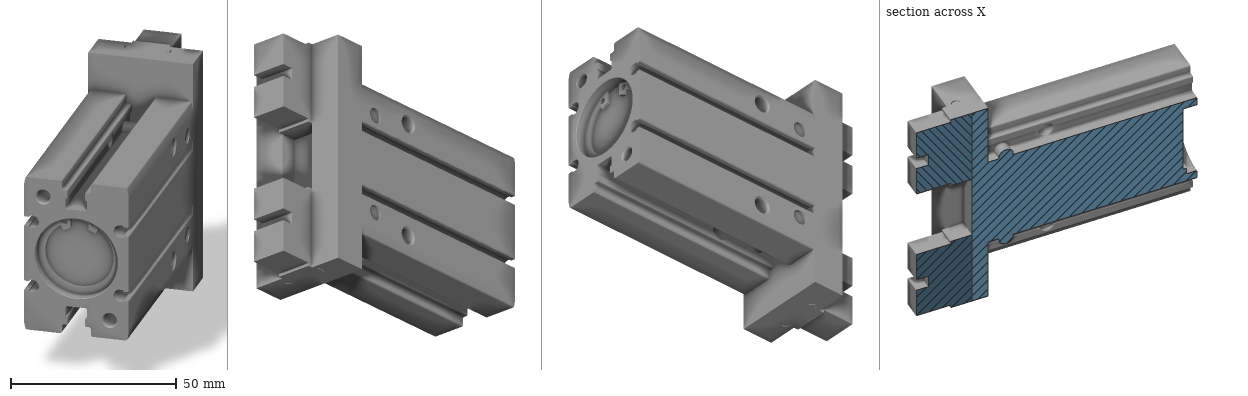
import cadquery as cq
import math

total_length = 94.2
body_length = 70.1
head_length = 11.0
head_width = 33.0
head_height = 74.6
head_front = body_length + head_length

body_width = head_width
body_height = 50.1
corner_radius = 0.6
side_relief_height = 3.5
side_relief_depth = 0.6
side_relief_bulge = 0.14

tslot_mouth_width = 9.1
tslot_shelf_depth = 3.0
tslot_neck_width = 5.6
tslot_lip_depth = 5.65
tslot_wide_width = 6.8
tslot_depth = 9.1
tslot_radius = 0.6
tslot_lip_radius = 0.3

groove_spacing = 21.1
groove_neck_width = 2.9
groove_neck_depth = 1.6
groove_mouth_radius = 0.2
groove_diameter = 4.0
groove_depth = 4.7

pin_diameter = 4.9
pin_y = 64.1
pin_z = 16.2
pin_recess = 0.9
cross_hole_diameter = 5.0
cross_hole_mouth = 6.0
cross_hole_y = 49.0
cross_hole_z = 18.65

rear_hole_diameter = 4.1
rear_hole_mouth = 5.0
rear_hole_depth = 9.4
rear_hole_x = 10.5
rear_hole_z = 19.0

bore_diameter = 26.0
bore_mouth = 26.4
ring_inner_diameter = 21.5
ring_depth = 3.5
ring_thickness = 1.2
ring_gap = 5.6
ring_ear_radius = 8.9
ring_ear_width = 3.0
ring_hole_diameter = 2.0
ring_hole_x = 4.8
ring_hole_z = 10.2

finger_width = 12.0
finger_foot_height = 26.4
finger_height = 24.4
finger_foot_step = 1.6
track_depth = 5.6
finger_bottom = head_front - track_depth
finger_notch_width = 4.0
finger_notch_depth = 4.0
finger_ear_width = 0.9
finger_ear_flat = 1.5
race_diameter = 3.0
race_inset = 3.2
race_y = head_front - race_inset


def box(x0, x1, y0, y1, z0, z1):
    return cq.Workplane("XY").box(x1 - x0, y1 - y0, z1 - z0, centered=False).translate((x0, y0, z0))


def rod_along_x(diameter, x0, x1, y, z):
    return cq.Workplane("YZ", origin=(x0, y, z)).circle(diameter / 2).extrude(x1 - x0)


def section():
    """Sketch plane on the rear face, X to the right and Z up; a negative extrusion runs toward +Y."""
    return cq.Workplane(cq.Plane(origin=(0, 0, 0), xDir=(1, 0, 0), normal=(0, -1, 0)))


def countersunk_rod(diameter, mouth, depth):
    """Hole cutter along +Z from the origin, with a 45 degree countersink at its mouth."""
    sink = (mouth - diameter) / 2
    return (
        cq.Workplane("XZ")
        .polyline([(0, 0), (mouth / 2, 0), (diameter / 2, sink), (diameter / 2, depth), (0, depth)])
        .close()
        .revolve(360, (0, 0, 0), (0, 1, 0))
    )


def body_blank():
    """Body without slots: the sides lean in along shallow arcs next to the top and bottom."""
    w = body_width / 2
    h = body_height / 2
    relief_start = h - side_relief_height
    relief_mid = h - side_relief_height / 2
    inner = w - side_relief_depth
    mid = w - side_relief_depth / 2 + side_relief_bulge
    blank = (
        section()
        .moveTo(-inner, h)
        .lineTo(inner, h)
        .threePointArc((mid, relief_mid), (w, relief_start))
        .lineTo(w, -relief_start)
        .threePointArc((mid, -relief_mid), (inner, -h))
        .lineTo(-inner, -h)
        .threePointArc((-mid, -relief_mid), (-w, -relief_start))
        .lineTo(-w, relief_start)
        .threePointArc((-mid, relief_mid), (-inner, h))
        .close()
        .extrude(-body_length)
    )
    return blank.edges("|Y and (>Z or <Z)").fillet(corner_radius)


def tslot():
    """Stepped slot cutter open to the top of the body, with rounded edges."""
    top = body_height / 2
    mouth = tslot_mouth_width / 2
    neck = tslot_neck_width / 2
    wide = tslot_wide_width / 2
    shelf = top - tslot_shelf_depth
    lip = top - tslot_lip_depth
    floor = top - tslot_depth
    r = tslot_radius
    e = tslot_lip_radius
    right = (
        section()
        .moveTo(0, top)
        .lineTo(mouth + r, top)
        .radiusArc((mouth, top - r), -r)
        .lineTo(mouth, shelf + r)
        .radiusArc((mouth - r, shelf), r)
        .lineTo(neck + e, shelf)
        .radiusArc((neck, shelf - e), -e)
        .lineTo(neck, lip + e)
        .radiusArc((neck + e, lip), -e)
        .lineTo(wide, lip)
        .lineTo(wide, floor + r)
        .radiusArc((wide - r, floor), r)
        .lineTo(0, floor)
        .close()
        .extrude(-body_length)
    )
    return right.union(right.mirror("YZ"))


def sensor_groove(z):
    """Keyhole groove cutter open to the +X side of the body."""
    w = body_width / 2
    r = groove_diameter / 2
    e = groove_mouth_radius
    neck = groove_neck_width / 2
    shoulder = w - groove_neck_depth
    tip = w - groove_depth
    return (
        section()
        .moveTo(w, z + neck + e)
        .radiusArc((w - e, z + neck), -e)
        .lineTo(shoulder, z + neck)
        .lineTo(shoulder, z + r)
        .lineTo(tip + r, z + r)
        .threePointArc((tip, z), (tip + r, z - r))
        .lineTo(shoulder, z - r)
        .lineTo(shoulder, z - neck)
        .lineTo(w - e, z - neck)
        .radiusArc((w, z - neck - e), -e)
        .close()
        .extrude(-body_length)
    )


def retaining_ring():
    """Open ring with two pierced ears beside the gap at its top."""
    radius = bore_diameter / 2
    ring = section().circle(radius).circle(ring_inner_diameter / 2).extrude(-ring_thickness)
    disc = section().circle(radius).extrude(-ring_thickness)
    right_half = box(0, radius, 0, ring_thickness, 0, radius)
    ear = box(-radius, ring_ear_width / 2, 0, ring_thickness, ring_ear_radius, radius)
    ear_angle = math.degrees(math.atan2(ring_hole_x, ring_hole_z))
    ear = ear.rotate((0, 0, 0), (0, 1, 0), ear_angle).intersect(right_half).intersect(disc)
    gap = box(-ring_gap / 2, ring_gap / 2, 0, ring_thickness, 0, radius)
    holes = (
        section()
        .pushPoints([(-ring_hole_x, ring_hole_z), (ring_hole_x, ring_hole_z)])
        .circle(ring_hole_diameter / 2)
        .extrude(-ring_thickness)
    )
    ring = ring.union(ear).union(ear.mirror("YZ")).cut(gap).cut(holes)
    return ring.translate((0, ring_depth, 0))


def rear_bore():
    """Cutter for the rear bore, leaving the retaining ring standing on its floor."""
    floor = ring_depth + ring_thickness
    bore = countersunk_rod(bore_diameter, bore_mouth, floor)
    return bore.rotate((0, 0, 0), (1, 0, 0), -90).cut(retaining_ring())


def finger_track():
    """Guide track cutter through the head, with blind round races in its sides at both ends."""
    half = finger_width / 2
    track = box(-half, half, finger_bottom, head_front, -head_height / 2, head_height / 2)
    races = (
        cq.Workplane("XY", origin=(0, 0, head_height / 2 - finger_foot_height))
        .pushPoints([(-half, race_y), (half, race_y)])
        .circle(race_diameter / 2)
        .extrude(finger_foot_height)
    )
    return track.union(races).union(races.mirror("XY"))


def head():
    return box(-head_width / 2, head_width / 2, body_length, head_front, -head_height / 2, head_height / 2)


def cross_pins():
    """Pins through the upper and lower slots; both ends are sunk below the body sides."""
    end = body_width / 2 - pin_recess
    upper_pin = rod_along_x(pin_diameter, -end, end, pin_y, pin_z)
    return upper_pin.union(upper_pin.mirror("XY"))


def cross_pin_holes():
    end = body_width / 2
    upper_hole = rod_along_x(pin_diameter, -end, end, pin_y, pin_z)
    return upper_hole.union(upper_hole.mirror("XY"))


def cross_holes():
    """Cutter for two through holes along X, countersunk on both sides of the body."""
    half_length = body_width / 2
    inward = countersunk_rod(cross_hole_diameter, cross_hole_mouth, half_length)
    left = inward.rotate((0, 0, 0), (0, 1, 0), 90).translate((-half_length, cross_hole_y, cross_hole_z))
    upper_hole = left.union(left.mirror("YZ"))
    return upper_hole.union(upper_hole.mirror("XY"))


def rear_holes():
    """Cutter for the two blind holes in diagonally opposite corners of the rear face."""
    hole = countersunk_rod(rear_hole_diameter, rear_hole_mouth, rear_hole_depth)
    hole = hole.rotate((0, 0, 0), (1, 0, 0), -90)
    lower_right = hole.translate((rear_hole_x, 0, -rear_hole_z))
    upper_left = hole.translate((-rear_hole_x, 0, rear_hole_z))
    return lower_right.union(upper_left)


def make_housing():
    housing = body_blank()
    for angle in (0, 180):
        housing = housing.cut(tslot().rotate((0, 0, 0), (0, 1, 0), angle))
        for z in (-groove_spacing / 2, groove_spacing / 2):
            housing = housing.cut(sensor_groove(z).rotate((0, 0, 0), (0, 1, 0), angle))
    housing = housing.cut(cross_pin_holes()).union(cross_pins())
    housing = housing.cut(cross_holes()).cut(rear_holes()).cut(rear_bore())
    return housing.union(head()).cut(finger_track())


def make_finger():
    """Upper finger: a foot that slides in the guide track and a notched jaw in front of it."""
    half = finger_width / 2
    z_top = head_height / 2
    z_mid = z_top - finger_foot_height / 2
    foot_front = head_front + finger_foot_step
    root = race_diameter / 2
    tip = half + finger_ear_width
    flat = finger_ear_flat / 2
    foot = box(-half, half, finger_bottom, foot_front, z_top - finger_foot_height, z_top)
    ears = (
        cq.Workplane("XY", origin=(0, 0, z_top - finger_foot_height))
        .moveTo(half, race_y - root)
        .lineTo(tip, race_y - flat)
        .lineTo(tip, race_y + flat)
        .lineTo(half, race_y + root)
        .lineTo(-half, race_y + root)
        .lineTo(-tip, race_y + flat)
        .lineTo(-tip, race_y - flat)
        .lineTo(-half, race_y - root)
        .close()
        .extrude(finger_foot_height)
    )
    jaw = box(-half, half, foot_front, total_length, z_mid - finger_height / 2, z_mid + finger_height / 2)
    notch_floor = total_length - finger_notch_depth
    notch_half = finger_notch_width / 2
    notch = box(-half, half, notch_floor, total_length, z_mid - notch_half, z_mid + notch_half)
    return foot.union(ears).union(jaw).cut(notch)


housing = make_housing()
upper_finger = make_finger()
fingers = [upper_finger, upper_finger.mirror("XY")]

result = cq.Compound.makeCompound([housing.val(), *[finger.val() for finger in fingers]])